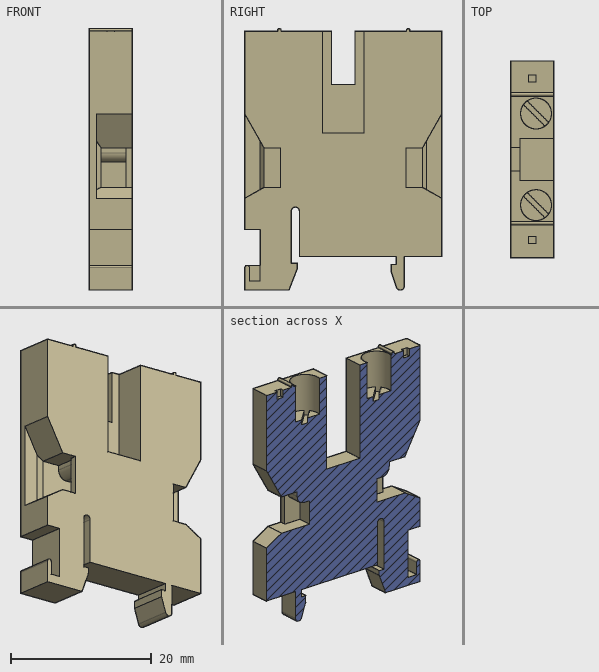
import cadquery as cq
import math

thickness = 6.15
length = 28.0
height = 37.2
half_length = length / 2

housing_bottom = 4.75
rib_height = 0.37
housing_top = height - rib_height
overcut = 0.37

slit_inner = -6.25
slit_outer = -7.35
slit_top = 11.8
slit_radius = (slit_inner - slit_outer) / 2
foot_lip_y = -6.5
foot_lip_top = 3.85
foot_lip_bottom = 3.1
foot_toe_y = -7.7
notch_y = -11.83
notch_bottom = 3.55
notch_top = 8.6
notch_lip_radius = 0.35
groove_wall = 0.75
groove_depth = 2.25

hook_outer = 8.7
hook_inner = 7.5
hook_lip_y = 6.8
hook_lip_top = 3.7
hook_lip_bottom = 2.6
hook_tip_radius = (hook_outer - hook_inner) / 2

slot_width = 3.3
slot_floor = 29.25
recess_width = 5.95
recess_floor = 22.32
recess_wall = 1.3

rib_width = 0.52
rib_centers = (-9.08, 9.23)

screw_x = 3.6
screw_y = 6.5
screw_radius = 2.2
screw_hole_depth = 5.58
driver_slot_width = 0.75
driver_slot_depth = 0.75
driver_slot_angle = -45

socket_size = 1.0
socket_y = 11.5
socket_depth = 1.1

entry_bottom = 13.05
entry_top = 25.07
throat_bottom = 14.62
throat_top = 20.2
ramp_depth = 2.75
throat_depth = 5.05
entry_wall = 1.05
throat_wall = 1.7
wall_straight_depth = 2.2

chamber_end_x = 5.2
chamber_depth = 7.8
clamp_front_depth = 5.58
clamp_bottom = 18.2
clamp_rounding = 1.35


def box(x_range, y_range, z_range):
    (x0, x1), (y0, y1), (z0, z1) = x_range, y_range, z_range
    return cq.Workplane("XY").box(x1 - x0, y1 - y0, z1 - z0, centered=False).translate((x0, y0, z0))


def make_body():
    """Side outline with the rail foot and snap hook, extruded through the thickness."""
    tip_y = (hook_outer + hook_inner) / 2
    tip_z = hook_tip_radius
    lip_dy = hook_lip_y - tip_y
    lip_dz = hook_lip_bottom - tip_z
    tangent_angle = math.atan2(lip_dz, lip_dy) + math.acos(hook_tip_radius / math.hypot(lip_dy, lip_dz))
    flank_end = (
        tip_y + hook_tip_radius * math.cos(tangent_angle),
        tip_z + hook_tip_radius * math.sin(tangent_angle),
    )
    lip_arc_shift = notch_lip_radius * (1 - math.sqrt(0.5))
    return (
        cq.Workplane("YZ")
        .moveTo(-half_length, housing_top)
        .lineTo(-half_length, notch_top)
        .lineTo(notch_y, notch_top)
        .lineTo(notch_y, notch_bottom)
        .lineTo(-half_length + notch_lip_radius, notch_bottom)
        .threePointArc(
            (-half_length + lip_arc_shift, notch_bottom - lip_arc_shift),
            (-half_length, notch_bottom - notch_lip_radius),
        )
        .lineTo(-half_length, 0)
        .lineTo(foot_toe_y, 0)
        .lineTo(foot_lip_y, foot_lip_bottom)
        .lineTo(foot_lip_y, foot_lip_top)
        .lineTo(slit_outer, foot_lip_top)
        .lineTo(slit_outer, slit_top - slit_radius)
        .threePointArc(
            ((slit_inner + slit_outer) / 2, slit_top),
            (slit_inner, slit_top - slit_radius),
        )
        .lineTo(slit_inner, housing_bottom)
        .lineTo(hook_inner, housing_bottom)
        .lineTo(hook_inner, hook_lip_top)
        .lineTo(hook_lip_y, hook_lip_top)
        .lineTo(hook_lip_y, hook_lip_bottom)
        .lineTo(*flank_end)
        .threePointArc((tip_y, 0), (hook_outer, tip_z))
        .lineTo(hook_outer, housing_bottom)
        .lineTo(half_length, housing_bottom)
        .lineTo(half_length, housing_top)
        .close()
        .extrude(thickness)
    )


def make_rib(center_y):
    """Round-topped rib standing on the housing."""
    rib_radius = rib_width / 2
    left_y = center_y - rib_radius
    right_y = center_y + rib_radius
    shoulder_z = height - rib_radius
    return (
        cq.Workplane("YZ")
        .moveTo(left_y, housing_top - overcut)
        .lineTo(left_y, shoulder_z)
        .threePointArc((center_y, height), (right_y, shoulder_z))
        .lineTo(right_y, housing_top - overcut)
        .close()
        .extrude(thickness)
    )


def make_lip_groove():
    """Groove behind the foot lip, leaving the lip with a fully rounded top."""
    lip_inner_y = -half_length + 2 * notch_lip_radius
    lip_crest_y = -half_length + notch_lip_radius
    groove_floor = notch_bottom - groove_depth
    arc_shift = notch_lip_radius * (1 - math.sqrt(0.5))
    return (
        cq.Workplane("YZ", origin=(groove_wall, 0, 0))
        .moveTo(notch_y, groove_floor)
        .lineTo(lip_inner_y, groove_floor)
        .lineTo(lip_inner_y, notch_bottom - notch_lip_radius)
        .threePointArc(
            (lip_inner_y - arc_shift, notch_bottom - arc_shift),
            (lip_crest_y, notch_bottom),
        )
        .lineTo(notch_y, notch_bottom)
        .close()
        .extrude(thickness - groove_wall)
    )


def make_central_recess():
    """Narrow slot through the -X wall, opening into a wider and deeper recess."""
    above = height + overcut
    beyond = thickness + overcut
    slot = box((-overcut, beyond), (-slot_width / 2, slot_width / 2), (slot_floor, above))
    recess = box((recess_wall, beyond), (-recess_width / 2, recess_width / 2), (recess_floor, above))
    return slot.union(recess)


def make_screw_hole(center_y):
    """Screw hole whose floor is the screw head with its driver slot."""
    head_z = housing_top - screw_hole_depth
    hole = (
        cq.Workplane("XY", origin=(screw_x, center_y, head_z))
        .circle(screw_radius)
        .extrude(screw_hole_depth)
    )
    head = (
        cq.Workplane("XY", origin=(screw_x, center_y, head_z - driver_slot_depth))
        .circle(screw_radius)
        .extrude(driver_slot_depth)
    )
    slot = (
        cq.Workplane("XY", origin=(screw_x, center_y, head_z - driver_slot_depth))
        .transformed(rotate=(0, 0, driver_slot_angle))
        .rect(2 * screw_radius, driver_slot_width)
        .extrude(driver_slot_depth)
    )
    return hole.union(slot.intersect(head))


def make_socket(center_y):
    """Square blind socket in the top face."""
    return (
        cq.Workplane("XY", origin=(thickness / 2, center_y, housing_top - socket_depth))
        .rect(socket_size, socket_size)
        .extrude(socket_depth)
    )


def make_wire_entry():
    """Wire funnel in the -Y end, with the clamp chamber behind it."""
    face_y = -half_length
    ramp_end = face_y + ramp_depth
    throat_end = face_y + throat_depth
    funnel = (
        cq.Workplane("YZ")
        .polyline([
            (face_y, entry_bottom),
            (ramp_end, throat_bottom),
            (throat_end, throat_bottom),
            (throat_end, throat_top),
            (ramp_end, throat_top),
            (face_y, entry_top),
        ])
        .close()
        .extrude(thickness)
    )
    plan = (
        cq.Workplane("XY")
        .polyline([
            (entry_wall, face_y),
            (entry_wall, face_y + wall_straight_depth),
            (throat_wall, ramp_end),
            (throat_wall, throat_end),
            (thickness, throat_end),
            (thickness, face_y),
        ])
        .close()
        .extrude(height)
    )
    chamber_x = (throat_wall, chamber_end_x)
    chamber_end = face_y + chamber_depth
    chamber = box(chamber_x, (throat_end, chamber_end), (throat_bottom, throat_top))
    clamp = box(chamber_x, (face_y + clamp_front_depth, chamber_end), (clamp_bottom, throat_top))
    clamp = clamp.edges("<Y and <Z").fillet(clamp_rounding)
    return funnel.intersect(plan).union(chamber.cut(clamp))


result = make_body()
for rib_y in rib_centers:
    result = result.union(make_rib(rib_y))
result = result.cut(make_lip_groove())
result = result.cut(make_central_recess())
for side in (-1, 1):
    result = result.cut(make_screw_hole(side * screw_y))
    result = result.cut(make_socket(side * socket_y))
wire_entry = make_wire_entry()
result = result.cut(wire_entry).cut(wire_entry.mirror("XZ"))